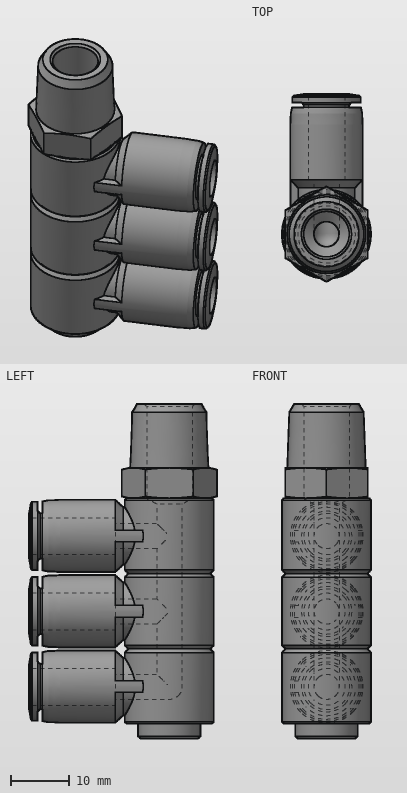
import cadquery as cq
import math

total_height = 57.7
branch_count = 3
branch_pitch = 13.0
lowest_branch_z = 9.0
branch_heights = [lowest_branch_z + i * branch_pitch for i in range(branch_count)]

body_radius = 15.4 / 2
body_bottom = 2.6
body_top = 41.5
body_chamfer = 0.35
joint_depth = 0.65
joint_heights = [z + branch_pitch / 2 for z in branch_heights[:-1]]

spigot_radius = 10.8 / 2
spigot_chamfer = 0.45

hex_across_flats = 14.25
hex_corner_radius = hex_across_flats / math.sqrt(3)
hex_turn = 30
hex_bottom = body_top
hex_top = 46.7
hex_bevel_radius = 7.1
hex_bevel_height = 0.3

thread_base_radius = 13.55 / 2
thread_end_radius = 12.85 / 2
thread_tip_radius = 11.2 / 2
thread_tip_length = 1.45

mouth_radius = 8.65 / 2
mouth_chamfer = 0.4
bore_radius = 7.85 / 2
bore_floor_z = hex_bottom
channel_radius = 4.3 / 2
bore_floor_slope = math.radians(30)

neck_end_y = 7.95
shoulder_y = 9.35
sleeve_line_y = 18.85
sleeve_step_y = 20.85
sleeve_edge_y = 21.5
sleeve_end_y = 21.85
collet_groove_y = 22.3
flange_start_y = 22.7
flange_edge_y = 23.6
flange_rim_y = 23.9
branch_end_y = 24.2

branch_radius = 12.5 / 2
neck_radius = 10.0 / 2
sleeve_step_radius = 12.35 / 2
sleeve_edge_radius = 12.05 / 2
sleeve_end_radius = 11.9 / 2
collet_radius = 7.85 / 2
collet_flare_radius = collet_radius + flange_start_y - collet_groove_y
flange_radius = 11.8 / 2
flange_rim_radius = 5.6
flange_face_radius = 7.75 / 2
tube_radius = 6.35 / 2
rib_thickness = 2.0


def cylinder(radius, z_from, z_to):
    return cq.Workplane("XY").workplane(offset=z_from).circle(radius).extrude(z_to - z_from)


def revolve_about_z(points):
    """Revolve (radius, z) points about the Z axis."""
    return cq.Workplane("XZ").polyline(points).close().revolve(360, (0, 0, 0), (0, 1, 0))


def revolve_about_y(points):
    """Revolve (radius, y) points about the Y axis."""
    return cq.Workplane("XY").polyline(points).close().revolve(360, (0, 0, 0), (0, 1, 0))


def body():
    column = cylinder(body_radius, body_bottom, body_top).edges().chamfer(body_chamfer)
    for joint_z in joint_heights:
        column = column.cut(revolve_about_z([
            (body_radius, joint_z - joint_depth),
            (body_radius, joint_z + joint_depth),
            (body_radius - joint_depth, joint_z),
        ]))
    return column


def hexagon():
    prism = (
        cq.Workplane("XY")
        .workplane(offset=hex_bottom)
        .polygon(6, 2 * hex_corner_radius)
        .extrude(hex_top - hex_bottom)
        .rotate((0, 0, 0), (0, 0, 1), hex_turn)
    )
    bevel = revolve_about_z([
        (0, hex_bottom),
        (hex_bevel_radius, hex_bottom),
        (hex_corner_radius, hex_bottom + hex_bevel_height),
        (hex_corner_radius, hex_top - hex_bevel_height),
        (hex_bevel_radius, hex_top),
        (0, hex_top),
    ])
    return prism.intersect(bevel)


def thread():
    return revolve_about_z([
        (0, hex_top),
        (thread_base_radius, hex_top),
        (thread_end_radius, total_height - thread_tip_length),
        (thread_tip_radius, total_height),
        (0, total_height),
    ])


def spigot():
    return cylinder(spigot_radius, 0, body_bottom).faces("<Z").chamfer(spigot_chamfer)


def branch():
    """One push-in branch at z = 0, whose barrel continues inward as two side ribs."""
    outer = revolve_about_y([
        (0, 0),
        (neck_radius, 0),
        (neck_radius, neck_end_y),
        (branch_radius, shoulder_y),
        (branch_radius, sleeve_line_y),
        (sleeve_step_radius, sleeve_step_y),
        (sleeve_edge_radius, sleeve_edge_y),
        (sleeve_end_radius, sleeve_end_y),
        (collet_radius, sleeve_end_y),
        (collet_radius, collet_groove_y),
        (collet_flare_radius, flange_start_y),
        (flange_radius, flange_start_y),
        (flange_radius, flange_edge_y),
        (flange_rim_radius, flange_rim_y),
        (flange_face_radius, branch_end_y),
        (0, branch_end_y),
    ])
    barrel = revolve_about_y([(0, 0), (branch_radius, 0), (branch_radius, shoulder_y), (0, shoulder_y)])
    rib_slab = cq.Workplane("XY").box(2 * branch_radius, 2 * shoulder_y, rib_thickness)
    return outer.union(barrel.intersect(rib_slab))


def branch_bore():
    """Tube socket and side channel, with a ball-shaped inner end on the Z axis."""
    passage = revolve_about_y([
        (0, 0),
        (channel_radius, 0),
        (channel_radius, shoulder_y),
        (tube_radius, shoulder_y),
        (tube_radius, branch_end_y),
        (0, branch_end_y),
    ])
    return passage.union(cq.Workplane("XY").sphere(channel_radius))


def main_bore():
    """Wide bore with a conical floor that leads into the narrow channel."""
    floor_depth = (bore_radius - channel_radius) * math.tan(bore_floor_slope)
    return revolve_about_z([
        (0, lowest_branch_z),
        (channel_radius, lowest_branch_z),
        (channel_radius, bore_floor_z - floor_depth),
        (bore_radius, bore_floor_z),
        (bore_radius, total_height - mouth_chamfer),
        (mouth_radius, total_height),
        (0, total_height),
    ])


result = body().union(spigot()).union(hexagon()).union(thread())
for branch_z in branch_heights:
    result = result.union(branch().translate((0, 0, branch_z)))
result = result.cut(main_bore())
for branch_z in branch_heights:
    result = result.cut(branch_bore().translate((0, 0, branch_z)))